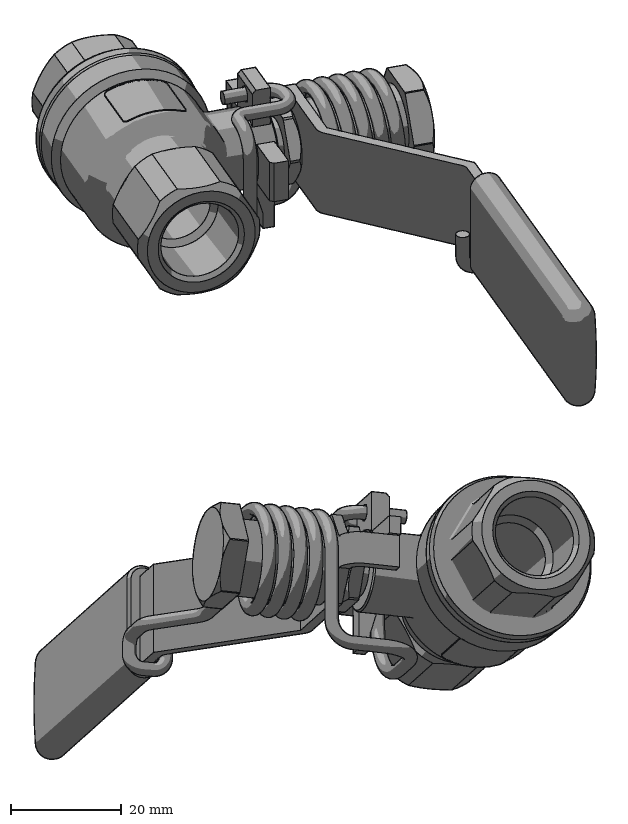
import cadquery as cq
import math


valve_half_length = 30.0
end_hex_flats = 22.0
end_hex_round = 23.5
end_hex_chamfer = 1.4
left_hex_end = -16.75
left_hex_root_fillet = 0.55
right_hex_start = 14.2
right_hex_back_chamfer = 0.8
collar_radius = 15.5
collar_chamfer = 0.5
collar_chamfer_length = 0.9
collar_end = -14.0
collar_step_length = 0.45
shoulder_radius = 15.3
shoulder_end = -8.1
shell_radius = 14.0
shell_start = -6.75
shell_end = 6.1
shell_blend = 1.0
waist_radius = 21.5 / 2
waist_start = shell_end + shell_radius - waist_radius

port_radius = 12.7 / 2
thread_radius = 14.94 / 2
thread_depth = 12.0
mouth_chamfer = 0.8

ring_slack = 0.05

plaque_length = 11.6
plaque_width = 12.1
plaque_center_x = -0.3
plaque_radius = 14.2
plaque_corner = 0.9

boss_radius = 15.0 / 2
boss_top = 23.1
boss_chamfer = 0.3
boss_blend = 0.6
saddle_y = math.sqrt(shell_radius**2 - boss_radius**2)

plate_top = 22.45
plate_thickness = 3.45
plate_bottom = plate_top - plate_thickness
ear_reach = 13.9
ear_half_width = 4.0
ear_chamfer = 0.7
stop_reach = 13.75
stop_inner = 3.0
stop_outer = 6.3
stop_tip_thickness = 2.2
stop_taper_start = 10.6
stop_taper_end = 6.5
eye_diameter = 3.0

stem_radius = 9.5 / 2
gland_nut_flats = 14.0
gland_nut_round = 15.9
gland_nut_bottom = 24.9
gland_nut_top = 27.6
washer_radius = 8.0 / 2
sleeve_radius = 14.0 / 2
cap_nut_flats = 17.0
cap_nut_round = 19.5
cap_nut_bottom = 48.0
cap_nut_top = 52.4
nut_chamfer = 0.8
nut_chamfer_depth = 1.2

lever_thickness = 2.0
lever_half_width = 8.4
lever_top = 30.45
lever_bottom = lever_top - lever_thickness
lever_rise = 20.95
lever_bend_x = 12.1
lever_bend_inner = 1.0
lever_upper_bend = 2.0
lever_shoulder_x = -5.0
tab_half_width = 3.0
tab_face_x = -12.95
tab_bend_radius = 3.85
tab_end = 20.2
grip_start = 40.5
grip_end = 95.0
grip_bulge = 1.4
grip_center_y = 50.7
grip_half_width = 10.65
grip_half_thickness = 3.0
grip_corner = 3.2
grip_rounding = 2.95
grip_back_chamfer = 0.6

wire_radius = 2.5 / 2
coil_radius = 9.0
coil_pitch = 3.0
coil_turns = 4.5
coil_start = 31.8
coil_end = coil_start + coil_pitch * coil_turns

loop_y = 14.72
loop_bottom_z = -17.0
loop_right_x = 14.95
loop_top_z = 11.1
lower_leg_bend = 4.0
lower_corner_bend = 7.0
loop_bottom_bend = 12.0
loop_top_bend = 5.0
hook_foot_bend = 2.1
hook_far_x = 6.9
hook_crest_y = 25.85
hook_bend = 3.0

arm_z = -3.95
arm_start_bend = 2.9
arm_top_y = 54.09
arm_bend_x = 22.0
arm_bend = 4.0
clip_x = 38.65
clip_bend = 1.9
clip_bottom_z = -9.75
clip_front_y = 47.1
clip_corner_bend = 2.5
clip_end_z = -2.7


def turned_about_flow(points):
    """Revolve an (x, radius) outline about the flow axis."""
    return cq.Workplane("XY").polyline(points).close().revolve(360, (0, 0, 0), (1, 0, 0))


def turned_about_stem(points):
    """Revolve a (radius, y) outline about the stem axis."""
    return cq.Workplane("XY").polyline(points).close().revolve(360, (0, 0, 0), (0, 1, 0))


def stem_cylinder(radius, bottom, top):
    return turned_about_stem([(0, bottom), (radius, bottom), (radius, top), (0, top)])


def across_corners(flats):
    return flats / math.cos(math.pi / 6)


def flow_hexagon(start, end):
    corners = across_corners(end_hex_flats)
    return cq.Workplane("YZ", origin=(start, 0, 0)).polygon(6, corners).extrude(end - start)


def stem_nut(flats, round_diameter, bottom, top):
    """Hexagon nut on the stem with blunted corners and a chamfered upper end."""
    corners = across_corners(flats)
    nut = cq.Workplane("XZ", origin=(0, bottom, 0)).polygon(6, corners).extrude(bottom - top)
    radius = round_diameter / 2
    envelope = turned_about_stem([
        (0, bottom),
        (radius, bottom),
        (radius, top - nut_chamfer),
        (radius - nut_chamfer_depth, top),
        (0, top),
    ])
    return nut.intersect(envelope)


def end_hexagons():
    """Hexagon ends with a cone on each outer edge."""
    radius = end_hex_round / 2
    left_envelope = turned_about_flow([
        (-valve_half_length, 0),
        (-valve_half_length, radius - end_hex_chamfer),
        (-valve_half_length + end_hex_chamfer, radius),
        (left_hex_end, radius),
        (left_hex_end, 0),
    ])
    right_envelope = turned_about_flow([
        (right_hex_start, 0),
        (right_hex_start, waist_radius),
        (right_hex_start + right_hex_back_chamfer, radius),
        (valve_half_length - end_hex_chamfer, radius),
        (valve_half_length, radius - end_hex_chamfer),
        (valve_half_length, 0),
    ])
    left = flow_hexagon(-valve_half_length, left_hex_end).intersect(left_envelope)
    right = flow_hexagon(right_hex_start, valve_half_length).intersect(right_envelope)
    return left, right


def ring_at(x, radius):
    """Select the edges that lie at one x and inside the given radius."""
    reach = radius + ring_slack
    near = (x - ring_slack, -reach, -reach)
    far = (x + ring_slack, reach, reach)
    return cq.selectors.BoxSelector(near, far, boundingbox=True)


def valve_shell():
    shell = turned_about_flow([
        (left_hex_end, 0),
        (left_hex_end, collar_radius - collar_chamfer),
        (left_hex_end + collar_chamfer_length, collar_radius),
        (collar_end, collar_radius),
        (collar_end + collar_step_length, shoulder_radius),
        (shoulder_end, shoulder_radius),
        (shell_start, shell_radius),
        (shell_end, shell_radius),
        (waist_start, waist_radius),
        (right_hex_start, waist_radius),
        (right_hex_start, 0),
    ])
    for x, radius in ((shell_end, shell_radius), (waist_start, waist_radius)):
        shell = shell.edges(ring_at(x, radius)).fillet(shell_blend)
    return shell


def plaques():
    """Low raised rectangles on the upper and lower side of the shell."""
    block = cq.Workplane("XY").box(plaque_length, plaque_width, 2 * plaque_radius)
    drum = cq.Workplane("YZ").circle(plaque_radius).extrude(plaque_length / 2, both=True)
    plaque = block.edges("|Z").fillet(plaque_corner).intersect(drum)
    return plaque.translate((plaque_center_x, 0, 0))


def flow_passage():
    """Through port with a wider threaded bore, coned at its bottom and countersunk at its mouth."""
    thread_end = valve_half_length - thread_depth
    port_start = thread_end - (thread_radius - port_radius)
    mouth_radius = thread_radius + mouth_chamfer
    return turned_about_flow([
        (-valve_half_length, 0),
        (-valve_half_length, mouth_radius),
        (-valve_half_length + mouth_chamfer, thread_radius),
        (-thread_end, thread_radius),
        (-port_start, port_radius),
        (port_start, port_radius),
        (thread_end, thread_radius),
        (valve_half_length - mouth_chamfer, thread_radius),
        (valve_half_length, mouth_radius),
        (valve_half_length, 0),
    ])


def ear(angle):
    """Wide full-thickness arm pointing along +X, turned about the stem axis."""
    outline = [
        (0, plate_top),
        (ear_reach, plate_top),
        (ear_reach, plate_bottom + ear_chamfer),
        (ear_reach - ear_chamfer, plate_bottom),
        (0, plate_bottom),
    ]
    arm = cq.Workplane("XY").polyline(outline).close().extrude(ear_half_width, both=True)
    return arm.rotate((0, 0, 0), (0, 1, 0), angle)


def left_stop():
    """Narrow tapered arm pointing along -X, above the lever tab."""
    tip_bottom = plate_top - stop_tip_thickness
    outline = [
        (0, plate_top),
        (-stop_reach, plate_top),
        (-stop_reach, tip_bottom),
        (-stop_taper_start, tip_bottom),
        (-stop_taper_end, plate_bottom),
        (0, plate_bottom),
    ]
    arm = cq.Workplane("XY", origin=(0, 0, stop_inner)).polyline(outline).close()
    return arm.extrude(stop_outer - stop_inner)


def lower_stop():
    """Mirror twin of the left stop, pointing along -Z."""
    return left_stop().mirror("XY").rotate((0, 0, 0), (0, 1, 0), -90)


def stop_plate():
    plate = ear(0).union(ear(-90)).union(left_stop()).union(lower_stop())
    eye_axis = cq.Workplane("XZ", origin=(0, plate_bottom, loop_top_z))
    eye = eye_axis.circle(eye_diameter / 2).extrude(-plate_thickness)
    return plate.cut(eye)


def lever_strip():
    """Cranked strip from the stem up to the inside of the grip."""
    corner_shift = lever_thickness * math.tan(math.pi / 8)
    upper_bend_x = lever_bend_x + lever_rise
    strip_end = grip_start + grip_half_width
    tab_inner_x = tab_face_x + lever_thickness
    side = cq.Workplane("XY").polyline([
        (tab_face_x, lever_top),
        (lever_bend_x, lever_top),
        (upper_bend_x, lever_top + lever_rise),
        (strip_end, lever_top + lever_rise),
        (strip_end, lever_bottom + lever_rise),
        (upper_bend_x + corner_shift, lever_bottom + lever_rise),
        (lever_bend_x + corner_shift, lever_bottom),
        (tab_inner_x, lever_bottom),
        (tab_inner_x, tab_end),
        (tab_face_x, tab_end),
    ]).close().extrude(lever_half_width, both=True)
    outer_bend = lever_bend_inner + lever_thickness

    def bend(strip, x, y, radius):
        return strip.edges(cq.selectors.NearestToPointSelector((x, y, 0))).fillet(radius)

    side = bend(side, tab_face_x, lever_top, tab_bend_radius)
    side = bend(side, tab_inner_x, lever_bottom, tab_bend_radius - lever_thickness)
    side = bend(side, lever_bend_x + corner_shift, lever_bottom, outer_bend)
    side = bend(side, upper_bend_x + corner_shift, lever_bottom + lever_rise, lever_upper_bend)

    neck_x = tab_face_x + tab_bend_radius
    plan = cq.Workplane("XZ", origin=(0, tab_end, 0)).polyline([
        (strip_end, lever_half_width),
        (lever_shoulder_x, lever_half_width),
        (neck_x, tab_half_width),
        (tab_face_x, tab_half_width),
        (tab_face_x, -tab_half_width),
        (neck_x, -tab_half_width),
        (lever_shoulder_x, -lever_half_width),
        (strip_end, -lever_half_width),
    ]).close().extrude(tab_end - lever_top - lever_rise)
    return side.intersect(plan)


def grip():
    """Flat sleeve with rounded long edges and a gently bowed, rounded tip."""
    tip_x = grip_end - grip_bulge
    slab = (
        cq.Workplane("XZ", origin=(0, grip_center_y, 0))
        .moveTo(grip_start, -grip_half_width)
        .lineTo(tip_x, -grip_half_width)
        .threePointArc((grip_end, 0), (tip_x, grip_half_width))
        .lineTo(grip_start, grip_half_width)
        .close()
        .extrude(grip_half_thickness, both=True)
    )
    slab = slab.edges("|Y").edges(">X").fillet(grip_corner)
    rounded_edges = slab.faces("<Y or >Y").edges("not(<X)")
    slab = rounded_edges.fillet(grip_rounding)
    return slab.faces("<X").chamfer(grip_back_chamfer)


def valve_assembly():
    """Valve body with stop plate, stem, nuts, sleeve, lever and grip."""
    boss = stem_cylinder(boss_radius, 0, boss_top).faces(">Y").chamfer(boss_chamfer)
    left_hex, right_hex = end_hexagons()
    valve = valve_shell().union(boss)
    saddle = cq.selectors.NearestToPointSelector((0, saddle_y, boss_radius))
    valve = valve.edges(saddle).fillet(boss_blend)
    valve = valve.union(left_hex)
    valve = valve.edges(ring_at(left_hex_end, end_hex_round / 2)).fillet(left_hex_root_fillet)
    valve = valve.union(right_hex).union(plaques())
    valve = valve.cut(flow_passage())
    valve = valve.union(stop_plate())
    valve = valve.union(stem_cylinder(stem_radius, plate_bottom, gland_nut_bottom))
    valve = valve.union(stem_nut(gland_nut_flats, gland_nut_round, gland_nut_bottom, gland_nut_top))
    valve = valve.union(stem_cylinder(washer_radius, gland_nut_top, lever_bottom))
    valve = valve.union(lever_strip()).union(grip())
    valve = valve.union(stem_cylinder(sleeve_radius, lever_top, cap_nut_bottom))
    return valve.union(stem_nut(cap_nut_flats, cap_nut_round, cap_nut_bottom, cap_nut_top))


def bent_wire(start, bends, end):
    """Round wire through corners given as (point, bend radius)."""
    points = [cq.Vector(*start)]
    points += [cq.Vector(*corner) for corner, radius in bends]
    points.append(cq.Vector(*end))
    edges = []
    reached = points[0]
    for index, (corner, radius) in enumerate(bends, start=1):
        point = points[index]
        toward = (points[index - 1] - point).normalized()
        away = (points[index + 1] - point).normalized()
        half_angle = toward.getAngle(away) / 2
        setback = radius / math.tan(half_angle)
        bisector = (toward + away).normalized()
        arc_start = point + toward * setback
        arc_end = point + away * setback
        arc_middle = point + bisector * (radius / math.sin(half_angle) - radius)
        edges.append(cq.Edge.makeLine(reached, arc_start))
        edges.append(cq.Edge.makeThreePointArc(arc_start, arc_middle, arc_end))
        reached = arc_end
    edges.append(cq.Edge.makeLine(reached, points[-1]))
    path = cq.Wire.assembleEdges(edges)
    section = cq.Plane(origin=start, normal=(points[1] - points[0]).toTuple())
    return cq.Workplane(section).circle(wire_radius).sweep(path)


def coil():
    """Right-hand coil about the stem axis, from the -X side to the +X side."""
    helix = cq.Wire.makeHelix(coil_pitch, coil_pitch * coil_turns, coil_radius)
    section = cq.Workplane("XZ", origin=(coil_radius, 0, 0)).circle(wire_radius)
    turns = section.sweep(cq.Workplane(obj=helix), isFrenet=True)
    turns = turns.rotate((0, 0, 0), (0, 0, 1), 180)
    return turns.rotate((0, 0, 0), (1, 0, 0), -90).translate((0, coil_start, 0))


def return_spring():
    fixed_end = bent_wire(
        (-coil_radius, coil_start, 0),
        [
            ((-coil_radius, coil_start, loop_bottom_z), lower_leg_bend),
            ((-coil_radius, loop_y, loop_bottom_z), lower_corner_bend),
            ((loop_right_x, loop_y, loop_bottom_z), loop_bottom_bend),
            ((loop_right_x, loop_y, loop_top_z), loop_top_bend),
            ((hook_far_x, loop_y, loop_top_z), hook_foot_bend),
            ((hook_far_x, hook_crest_y, loop_top_z), hook_bend),
            ((0, hook_crest_y, loop_top_z), hook_bend),
        ],
        (0, loop_y, loop_top_z),
    )
    arm_rise = arm_top_y - coil_end
    lever_end = bent_wire(
        (coil_radius, coil_end, 0),
        [
            ((coil_radius, coil_end, arm_z), arm_start_bend),
            ((arm_bend_x, coil_end, arm_z), arm_bend),
            ((arm_bend_x + arm_rise, arm_top_y, arm_z), arm_bend),
            ((clip_x, arm_top_y, arm_z), clip_bend),
            ((clip_x, arm_top_y, clip_bottom_z), clip_corner_bend),
            ((clip_x, clip_front_y, clip_bottom_z), clip_corner_bend),
        ],
        (clip_x, clip_front_y, clip_end_z),
    )
    return coil().union(fixed_end).union(lever_end)


valve = valve_assembly()
spring = return_spring()

result = cq.Compound.makeCompound([valve.solids().val(), spring.solids().val()])